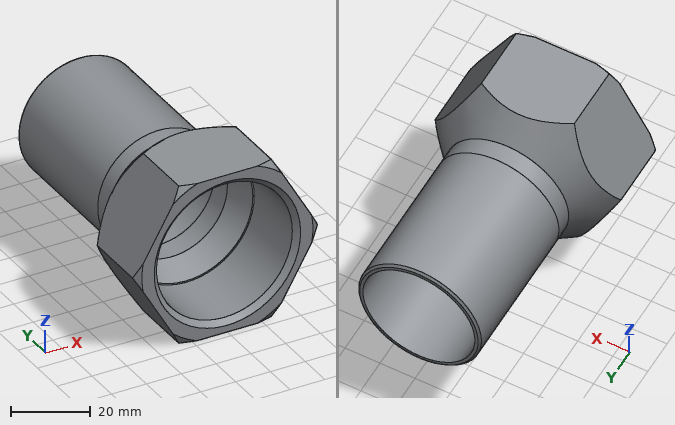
import cadquery as cq
import math

total_length = 76.0
across_flats = 46.0
tube_diameter = 35.0
bore_diameter = 32.0
tube_start = 35.1
tube_end_chamfer = 0.6

front_face_diameter = 49.1
front_chamfer_length = 1.2
corner_shoulder_start = 19.3
collar_start = 30.0

socket_diameter = 39.0
mouth_diameter = 42.0
mouth_chamfer_length = 1.5
socket_depth = 21.0
cone_large_diameter = 38.15
cone_end = 28.5

across_corners = across_flats / math.cos(math.radians(30))
corner_radius = across_corners / 2
tube_radius = tube_diameter / 2
bore_radius = bore_diameter / 2


def revolve_about_y(points):
    """Turn a closed (radius, Y) outline about the Y axis."""
    return cq.Workplane("XY").polyline(points).close().revolve(360, (0, 0), (0, 1))


def make_hex_prism():
    """Hexagonal bar with two corners on the X axis, from Y = 0 to the joint."""
    return cq.Workplane("XZ").polygon(6, across_corners).extrude(-tube_start)


def make_outer_envelope():
    """Turned outside: front corner chamfer, shoulder cone and round collar."""
    return revolve_about_y([
        (0, 0),
        (front_face_diameter / 2, 0),
        (corner_radius, front_chamfer_length),
        (corner_radius, corner_shoulder_start),
        (tube_radius, collar_start),
        (tube_radius, tube_start),
        (0, tube_start),
    ])


def make_socket_cavity():
    """Chamfered mouth, straight socket, step and cone down to the through bore."""
    return revolve_about_y([
        (0, 0),
        (mouth_diameter / 2, 0),
        (socket_diameter / 2, mouth_chamfer_length),
        (socket_diameter / 2, socket_depth),
        (cone_large_diameter / 2, socket_depth),
        (bore_radius, cone_end),
        (bore_radius, tube_start),
        (0, tube_start),
    ])


def make_socket():
    return make_hex_prism().intersect(make_outer_envelope()).cut(make_socket_cavity())


def make_tube():
    """Plain tube with a chamfered outer edge at its free end."""
    return revolve_about_y([
        (bore_radius, tube_start),
        (tube_radius, tube_start),
        (tube_radius, total_length - tube_end_chamfer),
        (tube_radius - tube_end_chamfer, total_length),
        (bore_radius, total_length),
    ])


socket = make_socket()
tube = make_tube()

result = cq.Compound.makeCompound([socket.val(), tube.val()])